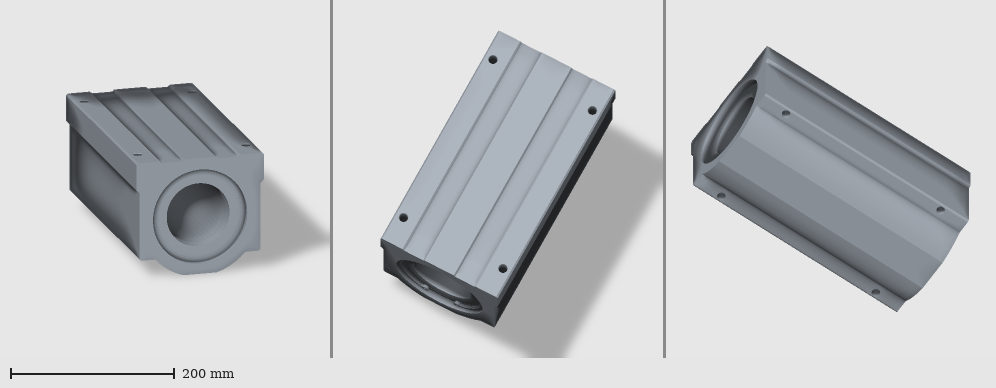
import cadquery as cq
import math


LENGTH = 303.0
WIDTH = 162.0
FLANGE_HALF_WIDTH = WIDTH / 2
BODY_HALF_WIDTH = 77.0
TOP_Z = 74.8
FLANGE_BOTTOM_Z = 40.3
SHOULDER_Z = -50.0
BOTTOM_Z = -73.0
BELLY_RADIUS = 76.0
TOP_CHAMFER = 2.0
SHOULDER_FILLET = 3.0

CHANNEL_DEPTH = 2.5
CHANNEL_TOP_INNER_Y = 20.3
CHANNEL_FLOOR_INNER_Y = 22.0
CHANNEL_FLOOR_OUTER_Y = 48.2
CHANNEL_TOP_OUTER_Y = 51.0

HOLE_DIAMETER = 10.5
HOLE_MOUTH_DIAMETER = 12.0
HOLE_MOUTH_ANGLE = 90.0
HOLE_SPACING_X = 230.3
HOLE_SPACING_Y = 138.0

BORE_DIAMETER = 120.0
SHAFT_DIAMETER = 80.0
END_RECESS_DIAMETER = 109.5
END_RECESS_DEPTH = 0.3

RING_SETBACK = 4.5
RING_THICKNESS = 4.0
RING_INNER_DIAMETER = 109.5
RING_INNER_OFFSET = 2.5
EAR_RADIUS = 4.5
EAR_HOLE_DIAMETER = 4.0
EAR_Y = 22.5
EAR_Z = -52.0
EAR_FILLET = 2.5

SLEEVE_LENGTH = LENGTH - 2 * (RING_SETBACK + RING_THICKNESS)


def cylinder_along_x(start_x, length, diameter, y=0.0, z=0.0):
    """Solid cylinder parallel to X that starts at start_x."""
    section = cq.Workplane("YZ", origin=(start_x, 0, 0)).center(y, z).circle(diameter / 2)
    return section.extrude(length)


def channel_cutter(side):
    """Channel with sloping sides, on the +Y (side = 1) or -Y (side = -1) half of the top."""
    return (
        cq.Workplane("YZ", origin=(-LENGTH / 2, 0, 0))
        .moveTo(side * CHANNEL_TOP_INNER_Y, TOP_Z)
        .lineTo(side * CHANNEL_FLOOR_INNER_Y, TOP_Z - CHANNEL_DEPTH)
        .lineTo(side * CHANNEL_FLOOR_OUTER_Y, TOP_Z - CHANNEL_DEPTH)
        .lineTo(side * CHANNEL_TOP_OUTER_Y, TOP_Z)
        .close()
        .extrude(LENGTH)
    )


def make_block():
    """Extruded outline: wide flange, narrower body and a rounded belly with a flat bottom."""
    flange_step = FLANGE_HALF_WIDTH - BODY_HALF_WIDTH
    belly_top_y = math.sqrt(BELLY_RADIUS**2 - SHOULDER_Z**2)
    flat_half_width = math.sqrt(BELLY_RADIUS**2 - BOTTOM_Z**2)
    belly_mid = BELLY_RADIUS * math.sqrt(0.5)
    half_block = (
        cq.Workplane("YZ", origin=(-LENGTH / 2, 0, 0))
        .moveTo(0, TOP_Z)
        .lineTo(FLANGE_HALF_WIDTH - TOP_CHAMFER, TOP_Z)
        .lineTo(FLANGE_HALF_WIDTH, TOP_Z - TOP_CHAMFER)
        .lineTo(FLANGE_HALF_WIDTH, FLANGE_BOTTOM_Z)
        .lineTo(BODY_HALF_WIDTH, FLANGE_BOTTOM_Z - flange_step)
        .lineTo(BODY_HALF_WIDTH, SHOULDER_Z + SHOULDER_FILLET)
        .radiusArc((BODY_HALF_WIDTH - SHOULDER_FILLET, SHOULDER_Z), SHOULDER_FILLET)
        .lineTo(belly_top_y, SHOULDER_Z)
        .threePointArc((belly_mid, -belly_mid), (flat_half_width, BOTTOM_Z))
        .lineTo(0, BOTTOM_Z)
        .close()
        .extrude(LENGTH)
    )
    return half_block.mirror("XZ", union=True)


def make_housing():
    """Block with top channels, a through bore and four countersunk through holes."""
    housing = make_block()
    for side in (-1, 1):
        housing = housing.cut(channel_cutter(side))
    housing = housing.cut(cylinder_along_x(-LENGTH / 2, LENGTH, BORE_DIAMETER))
    top_plane = housing.copyWorkplane(cq.Workplane("XY", origin=(0, 0, TOP_Z)))
    hole_centres = top_plane.rarray(HOLE_SPACING_X, HOLE_SPACING_Y, 2, 2)
    return hole_centres.cskHole(HOLE_DIAMETER, HOLE_MOUTH_DIAMETER, HOLE_MOUTH_ANGLE)


def make_sleeve():
    """Bearing sleeve with a shallow recess in each end face."""
    start_x = -SLEEVE_LENGTH / 2
    sleeve = cylinder_along_x(start_x, SLEEVE_LENGTH, BORE_DIAMETER)
    sleeve = sleeve.cut(cylinder_along_x(start_x, SLEEVE_LENGTH, SHAFT_DIAMETER))
    for recess_x in (start_x, -start_x - END_RECESS_DEPTH):
        sleeve = sleeve.cut(cylinder_along_x(recess_x, END_RECESS_DEPTH, END_RECESS_DIAMETER))
    return sleeve


def make_snap_ring():
    """Eccentric ring, open at the bottom between two drilled ears."""
    start_x = -LENGTH / 2 + RING_SETBACK
    disc = cylinder_along_x(start_x, RING_THICKNESS, BORE_DIAMETER)
    ring = disc.cut(
        cylinder_along_x(start_x, RING_THICKNESS, RING_INNER_DIAMETER, z=-RING_INNER_OFFSET)
    )
    gap = (
        cq.Workplane("YZ", origin=(start_x, 0, 0))
        .polyline([(0, 0), (2 * EAR_Y, 2 * EAR_Z), (-2 * EAR_Y, 2 * EAR_Z)])
        .close()
        .extrude(RING_THICKNESS)
    )
    ring = ring.cut(gap)
    for side in (-1, 1):
        ear = cylinder_along_x(start_x, RING_THICKNESS, 2 * EAR_RADIUS, side * EAR_Y, EAR_Z)
        ring = ring.union(ear.intersect(disc))
        corner = (start_x, side * (EAR_Y + EAR_RADIUS), EAR_Z)
        ring = ring.edges("|X").edges(cq.NearestToPointSelector(corner)).fillet(EAR_FILLET)
    for side in (-1, 1):
        ring = ring.cut(
            cylinder_along_x(start_x, RING_THICKNESS, EAR_HOLE_DIAMETER, side * EAR_Y, EAR_Z)
        )
    return ring


housing = make_housing()
sleeve = make_sleeve()
snap_ring = make_snap_ring()

result = cq.Compound.makeCompound([housing.val(), sleeve.val(), snap_ring.val()])